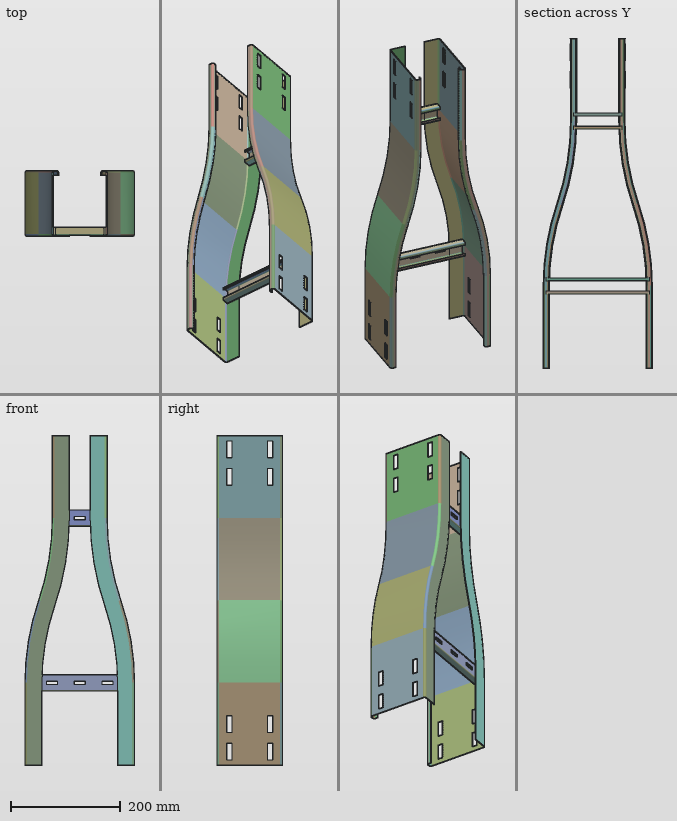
import cadquery as cq


length = 600.0
wide_width = 200.0
narrow_width = 100.0
rail_height = 120.0
end_length = 150.0

rail_sheet = 2.0
rung_sheet = 1.5

rail_bend = 4.0
front_flange = 31.0
back_flange = 12.0
lip_depth = 9.0

wall_slot_length = 30.0
wall_slot_width = 9.0
wall_slot_offset = 37.0
wall_slot_distances = (25.0, 75.0)

rung_bend = 2.0
rung_height = 30.0
rung_depth = 15.0
rung_setback = 6.0
rung_lip = 6.0
rung_slot_length = 20.0
rung_slot_height = 5.5
rung_slot_pitch = 50.5
lower_rung_slots = 3
upper_rung_slots = 1

front_y = -rail_height / 2
back_y = rail_height / 2
bend_z = length / 2 - end_length
wide_wall_x = -wide_width / 2
narrow_wall_x = -narrow_width / 2
middle_wall_x = (wide_wall_x + narrow_wall_x) / 2


def draw_folds(outline, points, radius):
    """Continue an outline to the last point, rounding each corner on the way."""
    corners = [cq.Vector(*point) for point in points]
    for before, corner, after in zip(corners, corners[1:], corners[2:]):
        arc_start = corner + (before - corner).normalized() * radius
        arc_end = corner + (after - corner).normalized() * radius
        outline = outline.lineTo(arc_start.x, arc_start.y)
        outline = outline.tangentArcPoint((arc_end.x, arc_end.y), relative=False)
    return outline.lineTo(*points[-1])


def folded_section(workplane, outer_points, inner_points, outer_bend, sheet):
    """Closed section of a folded sheet between its outer and inner faces."""
    outline = draw_folds(workplane.moveTo(*outer_points[0]), outer_points, outer_bend)
    inner_return = inner_points[::-1]
    outline = outline.lineTo(*inner_return[0])
    return draw_folds(outline, inner_return, outer_bend - sheet).close()


def rail_path():
    """S-shaped line up the outer wall face of the left rail."""
    return (
        cq.Workplane("XZ")
        .moveTo(wide_wall_x, -length / 2)
        .lineTo(wide_wall_x, -bend_z)
        .tangentArcPoint((middle_wall_x, 0), relative=False)
        .tangentArcPoint((narrow_wall_x, bend_z), relative=False)
        .lineTo(narrow_wall_x, length / 2)
    )


def rail_section():
    """Front flange, wall, back flange and lip of the left rail, at its lower end."""
    flange_x = wide_wall_x + front_flange
    lip_x = wide_wall_x + back_flange
    lip_y = back_y - lip_depth
    outer_points = [
        (flange_x, front_y),
        (wide_wall_x, front_y),
        (wide_wall_x, back_y),
        (lip_x, back_y),
        (lip_x, lip_y),
    ]
    inner_points = [
        (flange_x, front_y + rail_sheet),
        (wide_wall_x + rail_sheet, front_y + rail_sheet),
        (wide_wall_x + rail_sheet, back_y - rail_sheet),
        (lip_x - rail_sheet, back_y - rail_sheet),
        (lip_x - rail_sheet, lip_y),
    ]
    lower_end = cq.Workplane("XY", origin=(0, 0, -length / 2))
    return folded_section(lower_end, outer_points, inner_points, rail_bend, rail_sheet)


def wall_slots():
    """Cutters for the slots through the wall of the left rail, at both of its ends."""
    heights = [length / 2 - distance for distance in wall_slot_distances]
    places = [
        (side * wall_slot_offset, end * height)
        for side in (-1, 1)
        for end in (-1, 1)
        for height in heights
    ]
    return (
        cq.Workplane("YZ", origin=(wide_wall_x, 0, 0))
        .pushPoints(places)
        .rect(wall_slot_width, wall_slot_length)
        .extrude(narrow_wall_x - wide_wall_x + rail_sheet)
    )


def make_left_rail():
    return rail_section().sweep(rail_path()).cut(wall_slots())


def make_rung(wall_x, z, slot_count):
    """Lipped channel between the rails, open to the back, with its web lying on the front flanges."""
    rung_length = 2 * (abs(wall_x) - rung_setback)
    web_y = front_y + rail_sheet
    rear_y = web_y + rung_depth
    bottom_z = -rung_height / 2
    top_z = rung_height / 2
    outer_points = [
        (rear_y, bottom_z + rung_lip),
        (rear_y, bottom_z),
        (web_y, bottom_z),
        (web_y, top_z),
        (rear_y, top_z),
        (rear_y, top_z - rung_lip),
    ]
    inner_points = [
        (rear_y - rung_sheet, bottom_z + rung_lip),
        (rear_y - rung_sheet, bottom_z + rung_sheet),
        (web_y + rung_sheet, bottom_z + rung_sheet),
        (web_y + rung_sheet, top_z - rung_sheet),
        (rear_y - rung_sheet, top_z - rung_sheet),
        (rear_y - rung_sheet, top_z - rung_lip),
    ]
    left_end = cq.Workplane("YZ", origin=(-rung_length / 2, 0, z))
    section = folded_section(left_end, outer_points, inner_points, rung_bend, rung_sheet)
    channel = section.extrude(rung_length)
    slots = (
        cq.Workplane("XZ", origin=(0, web_y, z))
        .rarray(rung_slot_pitch, rung_height, slot_count, 1)
        .rect(rung_slot_length, rung_slot_height)
        .extrude(-rung_sheet)
    )
    return channel.cut(slots)


left_rail = make_left_rail()
right_rail = left_rail.mirror("YZ")
lower_rung = make_rung(wide_wall_x, -bend_z, lower_rung_slots)
upper_rung = make_rung(narrow_wall_x, bend_z, upper_rung_slots)

result = cq.Compound.makeCompound(
    [left_rail.val(), right_rail.val(), lower_rung.val(), upper_rung.val()]
)